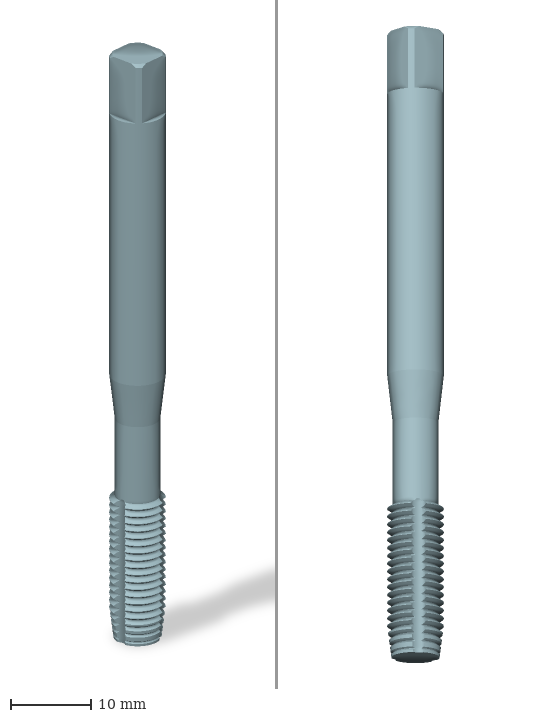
import cadquery as cq
import math


total_length = 80.0
shank_diameter = 7.0
neck_diameter = 5.7

cone_bottom = 30.0
cone_top = 36.0
square_length = 8.0

square_width = 5.5
square_end_chamfer = 0.4

nominal_thread_length = 20.0
pitch_count = 20
thread_diameter = shank_diameter
root_diameter = neck_diameter
crest_flat = 0.1
root_flat = 0.1

tip_diameter = 6.0
taper_length = 4.0

flute_count = 3
first_flute_angle = -90.0
flute_radius = 1.0
flute_axis_offset = 3.7
flute_length = 19.3

shank_radius = shank_diameter / 2
neck_radius = neck_diameter / 2
thread_radius = thread_diameter / 2
root_radius = root_diameter / 2
tip_radius = tip_diameter / 2
pitch = nominal_thread_length / pitch_count
top_crest = nominal_thread_length - pitch
head_top = top_crest + pitch / 2 - root_flat / 2
square_bottom = total_length - square_length


def make_flutes():
    """Straight round-bottomed flutes with ball ends, as one cutting tool."""
    flutes = cq.Workplane("XY")
    for index in range(flute_count):
        angle = math.radians(first_flute_angle + index * 360.0 / flute_count)
        x = flute_axis_offset * math.cos(angle)
        y = flute_axis_offset * math.sin(angle)
        channel = cq.Workplane("XY").center(x, y).circle(flute_radius).extrude(flute_length)
        ball_end = cq.Workplane("XY").sphere(flute_radius).translate((x, y, flute_length))
        flutes = flutes.add(channel.union(ball_end))
    return flutes.combine()


def make_ring_blank():
    """Revolved stack of V rings, ending at the tip in the middle of a crest."""
    profile = cq.Workplane("XZ").lineTo(thread_radius, 0).lineTo(thread_radius, crest_flat / 2)
    for index in range(1, pitch_count):
        crest = index * pitch
        root = crest - pitch / 2
        profile = profile.lineTo(root_radius, root - root_flat / 2)
        profile = profile.lineTo(root_radius, root + root_flat / 2)
        profile = profile.lineTo(thread_radius, crest - crest_flat / 2)
        profile = profile.lineTo(thread_radius, crest + crest_flat / 2)
    profile = profile.lineTo(root_radius, head_top).lineTo(0, head_top).close()
    return profile.revolve(360, (0, 0), (0, 1))


def make_taper_envelope():
    """Solid of revolution that trims the ring crests to the lead-in taper."""
    return (
        cq.Workplane("XZ")
        .lineTo(tip_radius, 0)
        .lineTo(thread_radius, taper_length)
        .lineTo(thread_radius, head_top)
        .lineTo(0, head_top)
        .close()
        .revolve(360, (0, 0), (0, 1))
    )


def make_threaded_head(flutes):
    return make_ring_blank().intersect(make_taper_envelope()).cut(flutes)


def make_drive_square():
    """Four flats whose corners stay on the shank diameter, with chamfered corner tips."""
    corner_round = (
        cq.Workplane("XY", origin=(0, 0, square_bottom))
        .circle(shank_radius)
        .extrude(square_length)
        .faces(">Z")
        .chamfer(square_end_chamfer)
    )
    flats = (
        cq.Workplane("XY", origin=(0, 0, square_bottom))
        .rect(square_width, square_width)
        .extrude(square_length)
    )
    return corner_round.intersect(flats)


def make_shank(flutes):
    """Neck, cone, plain shank and drive square; the flute ends run out in the neck."""
    round_part = (
        cq.Workplane("XZ")
        .moveTo(0, head_top)
        .lineTo(neck_radius, head_top)
        .lineTo(neck_radius, cone_bottom)
        .lineTo(shank_radius, cone_top)
        .lineTo(shank_radius, square_bottom)
        .lineTo(0, square_bottom)
        .close()
        .revolve(360, (0, 0), (0, 1))
    )
    return round_part.union(make_drive_square()).cut(flutes)


flute_cutter = make_flutes()
threaded_head = make_threaded_head(flute_cutter)
shank = make_shank(flute_cutter)

result = cq.Compound.makeCompound([threaded_head.val(), shank.val()])